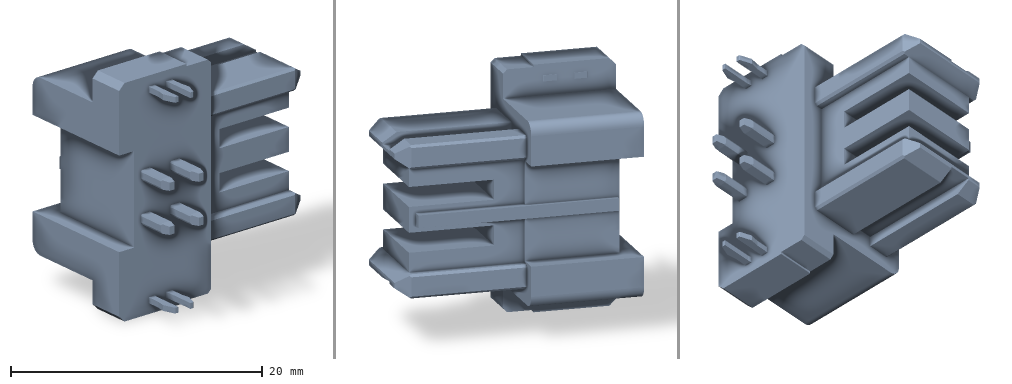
import cadquery as cq


TOTAL_DEPTH = 14.3
TOTAL_LENGTH = 20.2
TOTAL_HEIGHT = 20.56

BODY_DEPTH = 10.97
BODY_LENGTH = 9.42
BLOCK_INNER_Z = 4.16
BLOCK_OUTER_Z = 7.67
BLOCK_FILLET = 1.0
MIDDLE_FACE_X = 1.65
MIDDLE_REAR_Y = 1.53

EAR_THICKNESS = 3.38
EAR_OUTER_Z = TOTAL_HEIGHT / 2
EAR_STEP_Y = 6.88
EAR_STEP_DROP = 0.2
EAR_REAR_CHAMFER = 0.55
EAR_FRONT_CHAMFER = 0.33

TONGUE_INSET = 2.0
TONGUE_END_Y = 19.0
SLOT_PITCH = 3.8
SLOT_WIDTH = 1.66
SLOT_START_Y = 11.9

LEG_INSET = 1.25
LEG_INNER_Z = 4.36
LEG_OUTER_Z = 6.37
LEG_EDGE_CHAMFER = 0.2
LEG_TIP_TAPER = 0.78
GROOVE_START_X = 3.32
GROOVE_END_X = 5.31
GROOVE_FLOOR_Z = 5.42

RIB_FACE_X = LEG_INSET
RIB_HEIGHT = 1.05
RIB_START_Y = 1.73
RIB_END_Y = 18.45

PIN_LENGTH = TOTAL_DEPTH - BODY_DEPTH
PIN_MID_Y = 4.22
PIN_PITCH_Y = 3.0
PIN_PITCH_Z = SLOT_PITCH
PIN_WIDTH_Y = 1.0
PIN_HEIGHT_Z = 0.86
PIN_CHAMFER_Y = 0.07
PIN_CHAMFER_Z = 0.15
PIN_TAPER_START = 2.52
PIN_TIP_WIDTH_Y = 0.48
PIN_TIP_HEIGHT_Z = 0.7

CLIP_Z = 9.08
CLIP_THICKNESS = 0.5
CLIP_LENGTH = 3.03
CLIP_ROOT_INNER = 0.57
CLIP_INNER = 0.62
CLIP_OUTER = 1.2
CLIP_BUMP = 1.33
CLIP_TIP_OUTER = 0.97
CLIP_ROOT_LENGTH = 0.35
CLIP_BUMP_START = 1.22
CLIP_BUMP_END = 2.0
CLIP_HEAD_INNER = 0.74
CLIP_HEAD_OUTER = 1.87
CLIP_HEAD_PROUD = 0.07
CLIP_EDGE_CHAMFER = 0.06

OVERLAP = 0.5


def box(x_range, y_range, z_range):
    """Box spanning the given (low, high) pairs."""
    size = [high - low for low, high in (x_range, y_range, z_range)]
    corner = (x_range[0], y_range[0], z_range[0])
    return cq.Workplane("XY").box(*size, centered=False).translate(corner)


def plate_xy(points, z_low, z_high):
    """Outline in XY extruded between two heights."""
    outline = cq.Workplane("XY").workplane(offset=z_low).polyline(points).close()
    return outline.extrude(z_high - z_low)


def plate_yz(points, x_low, x_high):
    """Outline in YZ extruded between two X positions."""
    outline = cq.Workplane("YZ").workplane(offset=x_low).polyline(points).close()
    return outline.extrude(x_high - x_low)


def plate_xz(points, y_low, y_high):
    """Outline in XZ extruded between two Y positions."""
    outline = cq.Workplane("XZ").workplane(offset=-y_low).polyline(points).close()
    return outline.extrude(y_low - y_high)


def with_mirror(upper):
    """The given upper shape together with its copy below Z = 0."""
    return upper.union(upper.mirror("XY"))


def end_block():
    block = box((0, BODY_DEPTH), (0, BODY_LENGTH), (BLOCK_INNER_Z, BLOCK_OUTER_Z))
    return block.edges("<X and >Z").fillet(BLOCK_FILLET)


def ear():
    step_z = EAR_OUTER_Z - EAR_STEP_DROP
    profile = [
        (0, BLOCK_INNER_Z),
        (0, EAR_OUTER_Z - EAR_REAR_CHAMFER),
        (EAR_REAR_CHAMFER, EAR_OUTER_Z),
        (EAR_STEP_Y, EAR_OUTER_Z),
        (EAR_STEP_Y, step_z),
        (BODY_LENGTH - EAR_FRONT_CHAMFER, step_z),
        (BODY_LENGTH, step_z - EAR_FRONT_CHAMFER),
        (BODY_LENGTH, BLOCK_INNER_Z),
    ]
    return plate_yz(profile, BODY_DEPTH - EAR_THICKNESS, BODY_DEPTH)


def middle_block():
    return box(
        (MIDDLE_FACE_X, BODY_DEPTH),
        (MIDDLE_REAR_Y, BODY_LENGTH),
        (-BLOCK_INNER_Z, BLOCK_INNER_Z),
    )


def tongue():
    x_range = (TONGUE_INSET, BODY_DEPTH - TONGUE_INSET)
    plate = box(x_range, (MIDDLE_REAR_Y, TONGUE_END_Y), (-LEG_INNER_Z, LEG_INNER_Z))
    for slot_z in (-SLOT_PITCH / 2, SLOT_PITCH / 2):
        z_range = (slot_z - SLOT_WIDTH / 2, slot_z + SLOT_WIDTH / 2)
        plate = plate.cut(box(x_range, (SLOT_START_Y, TONGUE_END_Y), z_range))
    return plate


def guide_leg():
    """Leg with bevelled long edges, a four-sided tapered tip and a key groove."""
    root_y = BODY_LENGTH - OVERLAP
    width = BODY_DEPTH - 2 * LEG_INSET
    height = LEG_OUTER_Z - LEG_INNER_Z
    centre = (BODY_DEPTH / 2, root_y, (LEG_INNER_Z + LEG_OUTER_Z) / 2)
    bar = cq.Workplane("XY").box(width, TOTAL_LENGTH - root_y, height, centered=(True, False, True))
    bar = bar.translate(centre).edges("|Y").chamfer(LEG_EDGE_CHAMFER)

    def tapered_outline(low, high):
        return [
            (low, root_y),
            (low, TONGUE_END_Y),
            (low + LEG_TIP_TAPER, TOTAL_LENGTH),
            (high - LEG_TIP_TAPER, TOTAL_LENGTH),
            (high, TONGUE_END_Y),
            (high, root_y),
        ]

    in_plan = tapered_outline(LEG_INSET, BODY_DEPTH - LEG_INSET)
    in_side = [(y, z) for z, y in tapered_outline(LEG_INNER_Z, LEG_OUTER_Z)]
    bar = bar.intersect(plate_xy(in_plan, LEG_INNER_Z, LEG_OUTER_Z))
    bar = bar.intersect(plate_yz(in_side, 0, BODY_DEPTH))
    groove = box(
        (GROOVE_START_X, GROOVE_END_X),
        (BODY_LENGTH, TOTAL_LENGTH),
        (GROOVE_FLOOR_Z, LEG_OUTER_Z),
    )
    return bar.cut(groove)


def polarising_rib():
    return box(
        (RIB_FACE_X, BODY_DEPTH / 2),
        (RIB_START_Y, RIB_END_Y),
        (-RIB_HEIGHT / 2, RIB_HEIGHT / 2),
    )


def solder_pin():
    """Octagonal pin along +X from the origin, tapered on four sides at its tip."""
    half_y = PIN_WIDTH_Y / 2
    half_z = PIN_HEIGHT_Z / 2
    flat_y = half_y - PIN_CHAMFER_Y
    flat_z = half_z - PIN_CHAMFER_Z
    section = [
        (-flat_y, -half_z),
        (flat_y, -half_z),
        (half_y, -flat_z),
        (half_y, flat_z),
        (flat_y, half_z),
        (-flat_y, half_z),
        (-half_y, flat_z),
        (-half_y, -flat_z),
    ]

    def tapered_outline(half_width, half_tip):
        return [
            (-OVERLAP, -half_width),
            (PIN_TAPER_START, -half_width),
            (PIN_LENGTH, -half_tip),
            (PIN_LENGTH, half_tip),
            (PIN_TAPER_START, half_width),
            (-OVERLAP, half_width),
        ]

    in_plan = tapered_outline(half_y, PIN_TIP_WIDTH_Y / 2)
    in_side = tapered_outline(half_z, PIN_TIP_HEIGHT_Z / 2)
    pin = plate_yz(section, -OVERLAP, PIN_LENGTH)
    pin = pin.intersect(plate_xy(in_plan, -half_z, half_z))
    return pin.intersect(plate_xz(in_side, -half_y, half_y))


def solder_pins():
    pins = cq.Workplane("XY")
    for pin_y in (PIN_MID_Y - PIN_PITCH_Y / 2, PIN_MID_Y + PIN_PITCH_Y / 2):
        for pin_z in (-PIN_PITCH_Z / 2, PIN_PITCH_Z / 2):
            pins = pins.add(solder_pin().translate((BODY_DEPTH, pin_y, pin_z)))
    return pins.combine()


def board_clip():
    """Two mirrored snap arms on the board side and their heads on the ear face."""
    arm_outline = [
        (-OVERLAP, CLIP_ROOT_INNER),
        (0, CLIP_ROOT_INNER),
        (CLIP_ROOT_LENGTH, CLIP_INNER),
        (CLIP_LENGTH, CLIP_INNER),
        (CLIP_LENGTH, CLIP_TIP_OUTER - CLIP_EDGE_CHAMFER),
        (CLIP_LENGTH - CLIP_EDGE_CHAMFER, CLIP_TIP_OUTER),
        (CLIP_BUMP_END, CLIP_BUMP),
        (CLIP_BUMP_START, CLIP_OUTER),
        (-OVERLAP, CLIP_OUTER),
    ]
    ear_face_x = -EAR_THICKNESS
    head_x = (ear_face_x - CLIP_HEAD_PROUD, ear_face_x + OVERLAP)
    half = CLIP_THICKNESS / 2
    arm = plate_xy(arm_outline, -half, half)
    head = box(head_x, (CLIP_HEAD_INNER, CLIP_HEAD_OUTER), (-half, half))
    head = head.edges("<X and >Y").chamfer(CLIP_EDGE_CHAMFER)
    clip = cq.Workplane("XY").add(arm).add(head).add(arm.mirror("XZ")).add(head.mirror("XZ"))
    return clip.combine().translate((BODY_DEPTH, PIN_MID_Y, CLIP_Z))


result = middle_block().union(tongue()).union(polarising_rib()).union(solder_pins())
for upper_feature in (end_block(), ear(), guide_leg(), board_clip()):
    result = result.union(with_mirror(upper_feature))